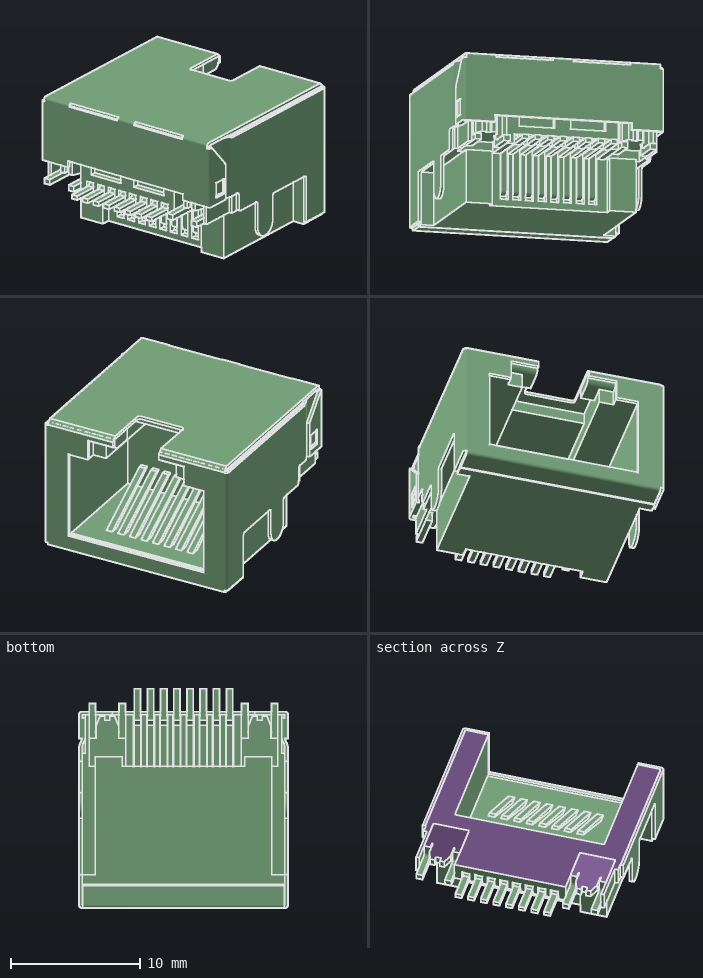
import cadquery as cq


SHEET = 0.25
MARGIN = 0.02
WIDTH = 16.2
HEIGHT = 11.1
CORE_WIDTH = WIDTH - 2 * SHEET
CORE_TOP = HEIGHT - SHEET
CORE_TOP_FILLET = 0.25
REAR_PLATE_DEPTH = 14.96
SHELL_DEPTH = REAR_PLATE_DEPTH + SHEET
UNDERCUT_Z = 4.16
UNDERCUT_DEPTH = 2.58
SKIRT_Z = 5.76

PLUG_WIDTH = 12.0
PLUG_FLOOR_Z = 1.36
PLUG_TOP_Z = 8.58
PLUG_DEPTH = 9.52
SHOULDER_WIDTH = 6.22
SHOULDER_TOP_Z = 9.88
MOUTH_WIDTH = 8.5
MOUTH_DEPTH = 0.88
MOUTH_FILLET = 0.56
SHELL_MOUTH_TOP_Z = 10.27
LATCH_WIDTH = 4.05
LATCH_WALL_DEPTH = 2.28
LATCH_POCKET_DEPTH = 5.1
LEAD_IN = 0.24

TOP_WIDTH = 15.64
SIDE_TOP_Z = 10.8
SIDE_TOP_CHAMFER = 0.1
CORNER_FILLET = 0.24
FRONT_CHAMFER = 0.37
WINDOW_DEPTH = 4.1
WINDOW_FILLET = 0.24
BOTTOM_FLAP_DEPTH = 1.73
TONGUE_START, TONGUE_END = 6.97, 8.95
TONGUE_TIP_Z = 0.99
SIDE_END_DEPTH = 11.39
SIDE_CUT_FILLET = 0.2
REAR_NOTCH_WIDTH = 11.05
REAR_NOTCH_Z = 6.29
BEND_SLOT_START, BEND_SLOT_END = 0.82, 5.4
BEND_SLOT_SIZE = 0.22
JOGGLE_START, JOGGLE_RAMP_START, JOGGLE_RAMP_END = 12.38, 12.56, 13.12
JOGGLE_FILLET = 0.82
INNER_SIDE_END = 14.72
TAB_START = 13.12
TAB_CORNER_Z = 8.74
TAB_TOP_Z = 10.76
CATCH_START, CATCH_END = 13.35, 14.38
CATCH_BOTTOM_Z, CATCH_TOP_Z = 6.32, 7.58
CATCH_CLEARANCE = 0.07
CATCH_PEAK = 0.17
CATCH_HEIGHT = 0.1
CATCH_RAMP = 0.29

BLOCK_WIDTH = 13.7
BLOCK_DEPTH = 11.71
CENTRE_FACE_WIDTH = 9.45
CENTRE_FACE_DEPTH = 10.98
FLAP_GAP = 0.1
WAIST_WIDTH = CORE_WIDTH - 2 * SHEET
WAIST_DEPTH = 11.98
BAY_INNER_X, BAY_OUTER_X = 4.49, 7.31
BAY_TOP_Z = 9.86
BAY_BACK_DEPTH = CENTRE_FACE_DEPTH
POCKET_INNER_X, POCKET_OUTER_X = 0.63, 3.48
POCKET_BOTTOM_Z, POCKET_TOP_Z = 5.56, 7.14
POCKET_SIZE_Y = 0.51

CONTACT_COUNT = 8
CONTACT_PITCH = 1.02
CONTACT_WIDTH = 0.51
CONTACT_THICKNESS = 0.34
CONTACT_TIP_DEPTH = 17.0
CONTACT_TOP_Z = 4.86
CONTACT_BEND_Z = 0.92
CONTACT_BEND_RADIUS = 0.34
CONTACT_RAMP_DEPTH = 14.54
CONTACT_INSET = 0.1
SLOT_WIDTH = 0.63
SLOT_BOTTOM_Z, SLOT_TOP_Z = 0.58, 4.91
SLOT_BACK_DEPTH = 10.47
SPRING_START = 2.21
SPRING_END = 7.48
SPRING_RISE = 3.06
SPRING_BASE_LENGTH = 0.68

LEG_WIDTH = 0.51
LEG_THICKNESS = 0.46
LEG_TIP_DEPTH = 15.85
LEG_FRONT_DEPTH = 13.6
NOSE_FRONT_DEPTH = 14.88
LEG_FILLET = 0.25
LED_BOTTOM_Z = 5.02
NOSE_BASE_WIDTH = 1.73
NOSE_FACE_WIDTH = 1.12
NOSE_CHAMFER_Y = 0.76
GROOVE_WIDTH = 0.39
GROOVE_SIZE_Y = 0.34


def block(x_min, x_max, depth_min, depth_max, z_min, z_max):
    """Box between two X positions, two depths behind the mating face and two heights."""
    return cq.Workplane("XY").box(
        x_max - x_min, depth_max - depth_min, z_max - z_min, centered=False
    ).translate((x_min, -depth_max, z_min))


def centred_block(width, depth_min, depth_max, z_min, z_max):
    return block(-width / 2, width / 2, depth_min, depth_max, z_min, z_max)


def side_profile(points, width, x_centre=0.0):
    """Closed outline of (depth, z) points, extruded along X about x_centre."""
    outline = [(-depth, z) for depth, z in points]
    return (
        cq.Workplane("YZ").polyline(outline).close()
        .extrude(width / 2, both=True).translate((x_centre, 0, 0))
    )


def both_sides(body):
    return body.union(body.mirror("YZ"))


def core(depth_min, depth_max, z_min):
    """Space inside the shield, with rounded upper side edges."""
    space = centred_block(CORE_WIDTH, depth_min, depth_max, z_min, CORE_TOP)
    return space.edges("|Y and >Z").fillet(CORE_TOP_FILLET)


def shell_envelope():
    middle = centred_block(TOP_WIDTH, 0, SHELL_DEPTH, 0, HEIGHT)
    middle = middle.edges(">Y and >Z").chamfer(FRONT_CHAMFER)
    middle = middle.edges("(<Y and >Z) or (>Y and <Z)").fillet(CORNER_FILLET)
    sides = centred_block(WIDTH, 0, SHELL_DEPTH, SHEET, SIDE_TOP_Z)
    sides = sides.edges("|Z").fillet(CORNER_FILLET)
    sides = sides.faces(">Z").edges().chamfer(SIDE_TOP_CHAMFER)
    return middle.union(sides)


def side_cutout():
    """Space below the side walls, around the hanging tongue and under the rear skirt."""
    radius = (TONGUE_END - TONGUE_START) / 2
    below = -SHEET
    past_rear = SHELL_DEPTH + SHEET
    space = (
        cq.Workplane("YZ")
        .moveTo(-UNDERCUT_DEPTH, below)
        .lineTo(-UNDERCUT_DEPTH, UNDERCUT_Z)
        .lineTo(-TONGUE_START, UNDERCUT_Z)
        .lineTo(-TONGUE_START, TONGUE_TIP_Z + radius)
        .threePointArc((-TONGUE_START - radius, TONGUE_TIP_Z), (-TONGUE_END, TONGUE_TIP_Z + radius))
        .lineTo(-TONGUE_END, UNDERCUT_Z)
        .lineTo(-SIDE_END_DEPTH, UNDERCUT_Z)
        .lineTo(-SIDE_END_DEPTH, SKIRT_Z)
        .lineTo(-past_rear, SKIRT_Z)
        .lineTo(-past_rear, below)
        .close()
        .extrude(WIDTH, both=True)
    )
    corners = cq.selectors.BoxSelector(
        (-WIDTH, -UNDERCUT_DEPTH + MARGIN, UNDERCUT_Z - MARGIN),
        (WIDTH, -SIDE_END_DEPTH - MARGIN, SKIRT_Z + MARGIN),
    )
    return space.edges("|X").edges(corners).fillet(SIDE_CUT_FILLET)


def plug_space(depth_min, depth_max):
    return centred_block(PLUG_WIDTH, depth_min, depth_max, PLUG_FLOOR_Z, PLUG_TOP_Z)


def mouth(depth_min, depth_max, top_z):
    """Wide space above the plug at the mating face."""
    return centred_block(MOUTH_WIDTH, depth_min, depth_max, PLUG_FLOOR_Z, top_z)


def latch_window():
    window = centred_block(LATCH_WIDTH, 0, WINDOW_DEPTH, SHOULDER_TOP_Z, HEIGHT)
    return window.edges("|Z and <Y").fillet(WINDOW_FILLET)


def side_relief():
    """Space over the joggle and above the sloping edge of the rear side tab."""
    relief = side_profile(
        [
            (JOGGLE_START, SKIRT_Z), (TAB_START, SKIRT_Z), (TAB_START, TAB_CORNER_Z),
            (REAR_PLATE_DEPTH, TAB_TOP_Z), (REAR_PLATE_DEPTH, HEIGHT), (JOGGLE_START, HEIGHT),
        ],
        SHEET,
        (WIDTH - SHEET) / 2,
    )
    return both_sides(relief)


def joggled_side():
    """Side wall stepping inwards by one sheet thickness to pass behind the rear tab."""
    outer_x = WIDTH / 2
    middle_x = outer_x - SHEET
    inner_x = middle_x - SHEET
    wall = (
        cq.Workplane("XY")
        .polyline([
            (outer_x, -JOGGLE_START), (outer_x, -JOGGLE_RAMP_START),
            (middle_x, -JOGGLE_RAMP_END), (middle_x, -INNER_SIDE_END),
            (inner_x, -INNER_SIDE_END), (inner_x, -JOGGLE_RAMP_END),
            (middle_x, -JOGGLE_RAMP_START), (middle_x, -JOGGLE_START),
        ])
        .close()
        .extrude(CORE_TOP - SKIRT_Z)
        .translate((0, 0, SKIRT_Z))
    )
    bends = cq.selectors.BoxSelector(
        (0, -JOGGLE_RAMP_START + MARGIN, 0), (WIDTH, -JOGGLE_RAMP_END - MARGIN, HEIGHT)
    )
    return both_sides(wall.edges("|Z").edges(bends).fillet(JOGGLE_FILLET))


def catch_windows():
    window = block(CORE_WIDTH / 2, WIDTH / 2, CATCH_START, CATCH_END, CATCH_BOTTOM_Z, CATCH_TOP_Z)
    return both_sides(window)


def catches():
    """Ramped catch on each joggled side, standing in the window of the rear tab."""
    base_x = CORE_WIDTH / 2
    start = CATCH_START + CATCH_CLEARANCE
    bottom = CATCH_BOTTOM_Z + CATCH_CLEARANCE
    catch = (
        cq.Workplane("XY")
        .polyline([
            (base_x, -start), (base_x + CATCH_PEAK, -start),
            (base_x + CATCH_HEIGHT, -start - CATCH_RAMP),
            (base_x + CATCH_HEIGHT, -CATCH_END), (base_x, -CATCH_END),
        ])
        .close()
        .extrude(CATCH_TOP_Z - bottom)
        .translate((0, 0, bottom))
    )
    return both_sides(catch)


def bend_slots():
    slot = block(
        BEND_SLOT_START, BEND_SLOT_END,
        SHELL_DEPTH - BEND_SLOT_SIZE, SHELL_DEPTH, HEIGHT - BEND_SLOT_SIZE, HEIGHT,
    )
    return both_sides(slot)


def make_shell():
    shell = shell_envelope().cut(core(SHEET, REAR_PLATE_DEPTH, SHEET)).cut(side_cutout())
    shell = shell.cut(centred_block(CORE_WIDTH, BOTTOM_FLAP_DEPTH, UNDERCUT_DEPTH, 0, SHEET))
    shell = shell.cut(plug_space(0, SHEET)).cut(mouth(0, SHEET, SHELL_MOUTH_TOP_Z))
    shell = shell.cut(latch_window())
    shell = shell.cut(
        centred_block(REAR_NOTCH_WIDTH, REAR_PLATE_DEPTH, SHELL_DEPTH, SKIRT_Z, REAR_NOTCH_Z)
    )
    shell = shell.cut(bend_slots()).cut(side_relief()).cut(catch_windows())
    return shell.union(joggled_side()).union(catches())


def housing_body():
    body = core(SHEET, REAR_PLATE_DEPTH, 0)
    body = body.cut(centred_block(CORE_WIDTH, SHEET, BOTTOM_FLAP_DEPTH + FLAP_GAP, 0, SHEET))
    body = body.cut(centred_block(CORE_WIDTH, BLOCK_DEPTH, REAR_PLATE_DEPTH, 0, UNDERCUT_Z))
    flank = block(BLOCK_WIDTH / 2, CORE_WIDTH / 2, UNDERCUT_DEPTH, BLOCK_DEPTH, 0, UNDERCUT_Z)
    waist = block(WAIST_WIDTH / 2, CORE_WIDTH / 2, WAIST_DEPTH, REAR_PLATE_DEPTH, 0, HEIGHT)
    body = body.cut(both_sides(flank)).cut(both_sides(waist))
    return body.cut(
        centred_block(CENTRE_FACE_WIDTH, CENTRE_FACE_DEPTH, BLOCK_DEPTH, 0, UNDERCUT_Z)
    )


def jack_cavity():
    cavity = plug_space(SHEET, PLUG_DEPTH).union(mouth(SHEET, MOUTH_DEPTH, SHOULDER_TOP_Z))
    shoulder = centred_block(SHOULDER_WIDTH, SHEET, PLUG_DEPTH, PLUG_FLOOR_Z, SHOULDER_TOP_Z)
    latch = centred_block(LATCH_WIDTH, SHEET, LATCH_WALL_DEPTH, SHOULDER_TOP_Z, HEIGHT)
    pocket = centred_block(
        SHOULDER_WIDTH, LATCH_WALL_DEPTH, LATCH_POCKET_DEPTH, SHOULDER_TOP_Z, HEIGHT
    )
    lead_in = side_profile(
        [
            (SHEET, PLUG_FLOOR_Z - LEAD_IN), (SHEET + LEAD_IN, PLUG_FLOOR_Z),
            (SHEET, PLUG_FLOOR_Z),
        ],
        PLUG_WIDTH,
    )
    return cavity.union(shoulder).union(latch).union(pocket).union(lead_in)


def led_bays():
    return both_sides(
        block(BAY_INNER_X, BAY_OUTER_X, BAY_BACK_DEPTH, REAR_PLATE_DEPTH, UNDERCUT_Z, BAY_TOP_Z)
    )


def rear_pockets():
    return both_sides(block(
        POCKET_INNER_X, POCKET_OUTER_X,
        REAR_PLATE_DEPTH - POCKET_SIZE_Y, REAR_PLATE_DEPTH, POCKET_BOTTOM_Z, POCKET_TOP_Z,
    ))


def make_contact(x):
    """Contact strip: rear foot, step up, run forwards, leg down and sloping spring."""
    foot_top = UNDERCUT_Z + CONTACT_THICKNESS
    run_bottom = CONTACT_TOP_Z - CONTACT_THICKNESS
    leg_rear = CENTRE_FACE_DEPTH - CONTACT_INSET
    leg_front = SLOT_BACK_DEPTH
    step = CONTACT_TOP_Z - foot_top
    strip = side_profile(
        [
            (CONTACT_TIP_DEPTH, UNDERCUT_Z), (CONTACT_TIP_DEPTH, foot_top),
            (CONTACT_RAMP_DEPTH + step, foot_top), (CONTACT_RAMP_DEPTH, CONTACT_TOP_Z),
            (leg_front, CONTACT_TOP_Z), (leg_front, CONTACT_BEND_Z),
            (leg_rear, CONTACT_BEND_Z), (leg_rear, run_bottom),
            (CONTACT_RAMP_DEPTH - step, run_bottom), (CONTACT_RAMP_DEPTH, UNDERCUT_Z),
        ],
        CONTACT_WIDTH,
        x,
    )
    heel = cq.selectors.NearestToPointSelector((x, -leg_rear, CONTACT_BEND_Z))
    strip = strip.edges("|X").edges(heel).fillet(CONTACT_BEND_RADIUS)
    spring_tip_z = PLUG_FLOOR_Z + SPRING_RISE
    spring = side_profile(
        [
            (SPRING_START, PLUG_FLOOR_Z), (SPRING_END, spring_tip_z),
            (SPRING_END + CONTACT_THICKNESS, spring_tip_z),
            (SPRING_START + SPRING_BASE_LENGTH, PLUG_FLOOR_Z),
        ],
        CONTACT_WIDTH,
        x,
    )
    return strip, spring


def make_housing():
    housing = housing_body().cut(jack_cavity())
    mouth_edges = cq.selectors.BoxSelector(
        (-MOUTH_WIDTH, -SHEET - MARGIN, SHOULDER_TOP_Z - MARGIN),
        (MOUTH_WIDTH, -SHEET + MARGIN, SHOULDER_TOP_Z + MARGIN),
    )
    housing = housing.edges("|X").edges(mouth_edges).fillet(MOUTH_FILLET)
    housing = housing.cut(led_bays()).cut(rear_pockets())
    for index in range(CONTACT_COUNT):
        x = (index - (CONTACT_COUNT - 1) / 2) * CONTACT_PITCH
        slot = centred_block(
            SLOT_WIDTH, SLOT_BACK_DEPTH, REAR_PLATE_DEPTH, SLOT_BOTTOM_Z, SLOT_TOP_Z
        )
        strip, spring = make_contact(x)
        housing = housing.cut(slot.translate((x, 0, 0))).union(strip).union(spring)
    return housing


def make_led(side):
    """LED filling one rear bay: body, chamfered nose with a groove, and two bent legs."""
    x_centre = (BAY_INNER_X + BAY_OUTER_X) / 2
    leg_back = LEG_FRONT_DEPTH - LEG_THICKNESS
    led = block(BAY_INNER_X, BAY_OUTER_X, BAY_BACK_DEPTH, leg_back, LED_BOTTOM_Z, BAY_TOP_Z)
    nose = (
        cq.Workplane("XY")
        .polyline([
            (-NOSE_BASE_WIDTH / 2, -leg_back),
            (-NOSE_BASE_WIDTH / 2, -NOSE_FRONT_DEPTH + NOSE_CHAMFER_Y),
            (-NOSE_FACE_WIDTH / 2, -NOSE_FRONT_DEPTH),
            (NOSE_FACE_WIDTH / 2, -NOSE_FRONT_DEPTH),
            (NOSE_BASE_WIDTH / 2, -NOSE_FRONT_DEPTH + NOSE_CHAMFER_Y),
            (NOSE_BASE_WIDTH / 2, -leg_back),
        ])
        .close()
        .extrude(BAY_TOP_Z - LED_BOTTOM_Z)
        .translate((x_centre, 0, LED_BOTTOM_Z))
    )
    groove = centred_block(
        GROOVE_WIDTH, NOSE_FRONT_DEPTH - GROOVE_SIZE_Y, NOSE_FRONT_DEPTH, LED_BOTTOM_Z, BAY_TOP_Z
    )
    led = led.union(nose).cut(groove.translate((x_centre, 0, 0)))
    foot_top = UNDERCUT_Z + LEG_THICKNESS
    for leg_x in (BAY_INNER_X + LEG_WIDTH / 2, BAY_OUTER_X - LEG_WIDTH / 2):
        leg = side_profile(
            [
                (LEG_TIP_DEPTH, UNDERCUT_Z), (LEG_TIP_DEPTH, foot_top),
                (LEG_FRONT_DEPTH, foot_top), (LEG_FRONT_DEPTH, BAY_TOP_Z),
                (leg_back, BAY_TOP_Z), (leg_back, UNDERCUT_Z),
            ],
            LEG_WIDTH,
            leg_x,
        )
        bend = cq.selectors.NearestToPointSelector((leg_x, -LEG_FRONT_DEPTH, foot_top))
        led = led.union(leg.edges("|X").edges(bend).fillet(LEG_FILLET))
    return led if side > 0 else led.mirror("YZ")


shell = make_shell()
housing = make_housing()
leds = [make_led(side) for side in (-1, 1)]
bodies = [shell, housing, *leds]
result = cq.Compound.makeCompound([body.solids().val() for body in bodies])